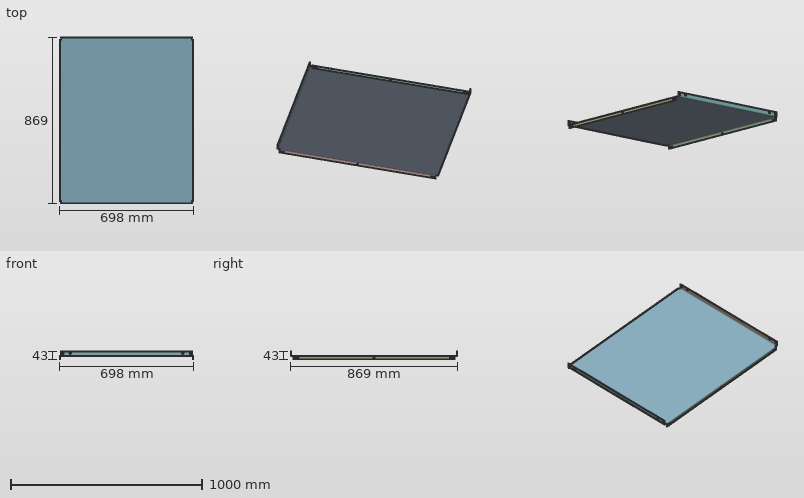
import cadquery as cq
import math

WIDTH = 698.0
LENGTH = 869.0
HEIGHT = 43.0

SHEET = 2.0
INNER_BEND = 0.5
OUTER_BEND = INNER_BEND + SHEET

END_RISE = 23.5
SIDE_DROP = HEIGHT - END_RISE
END_FLANGE_LENGTH = 686.0
SIDE_FLANGE_LENGTH = 845.0
PANEL_WIDTH = WIDTH - 2 * OUTER_BEND
PANEL_LENGTH = LENGTH - 2 * OUTER_BEND
PANEL_END_WIDTH = 684.0

END_OPENING_Z = 14.0
END_SLOT_X = 334.0
END_SLOT_WIDTH = 6.0
END_SLOT_HEIGHT = 14.0
END_HOLE_X = 294.0
END_HOLE_DIAMETER = 7.0

SIDE_HOLE_Z = -12.0
SIDE_OUTER_HOLE_Y = 413.0
SIDE_OUTER_HOLE_DIAMETER = 6.0
SIDE_INNER_HOLE_Y = 399.0
SIDE_INNER_HOLE_DIAMETER = 5.0


def bent_flange(plane, outer_face, height, length):
    """A quarter bend and its upright flange; the panel's outer skin is at height 0 of the profile."""
    bend_start = outer_face - OUTER_BEND
    diagonal = math.sqrt(0.5)
    outer_mid = (bend_start + OUTER_BEND * diagonal, OUTER_BEND * (1 - diagonal))
    inner_mid = (bend_start + INNER_BEND * diagonal, OUTER_BEND - INNER_BEND * diagonal)
    return (
        cq.Workplane(plane)
        .moveTo(bend_start, 0)
        .threePointArc(outer_mid, (outer_face, OUTER_BEND))
        .lineTo(outer_face, height)
        .lineTo(outer_face - SHEET, height)
        .lineTo(outer_face - SHEET, OUTER_BEND)
        .threePointArc(inner_mid, (bend_start, SHEET))
        .close()
        .extrude(length / 2, both=True)
    )


def panel():
    """Flat sheet, narrowed at both ends to leave relief notches at the corners."""
    middle = cq.Workplane("XY").rect(PANEL_WIDTH, SIDE_FLANGE_LENGTH).extrude(-SHEET)
    full_length = cq.Workplane("XY").rect(PANEL_END_WIDTH, PANEL_LENGTH).extrude(-SHEET)
    return middle.union(full_length)


def end_flange_pair():
    flange = bent_flange("YZ", LENGTH / 2, END_RISE + SHEET, END_FLANGE_LENGTH)
    flange = flange.translate((0, 0, -SHEET))
    return flange.union(flange.mirror("XZ"))


def side_flange_pair():
    flange = bent_flange("XZ", WIDTH / 2, SIDE_DROP, SIDE_FLANGE_LENGTH).mirror("XY")
    return flange.union(flange.mirror("YZ"))


def end_openings():
    """Upright slots near the corners and round holes beside them, through both end flanges."""
    slots = (
        cq.Workplane("XZ")
        .pushPoints([(-END_SLOT_X, END_OPENING_Z), (END_SLOT_X, END_OPENING_Z)])
        .slot2D(END_SLOT_HEIGHT, END_SLOT_WIDTH, 90)
        .extrude(LENGTH, both=True)
    )
    holes = (
        cq.Workplane("XZ")
        .pushPoints([(-END_HOLE_X, END_OPENING_Z), (END_HOLE_X, END_OPENING_Z)])
        .circle(END_HOLE_DIAMETER / 2)
        .extrude(LENGTH, both=True)
    )
    return slots.union(holes)


def side_holes(diameter, positions):
    """Round holes at the given Y positions, through both side flanges."""
    return (
        cq.Workplane("YZ")
        .pushPoints([(y, SIDE_HOLE_Z) for y in positions])
        .circle(diameter / 2)
        .extrude(WIDTH, both=True)
    )


result = (
    panel()
    .union(end_flange_pair())
    .union(side_flange_pair())
    .cut(end_openings())
    .cut(side_holes(SIDE_OUTER_HOLE_DIAMETER, (-SIDE_OUTER_HOLE_Y, SIDE_OUTER_HOLE_Y)))
    .cut(side_holes(SIDE_INNER_HOLE_DIAMETER, (-SIDE_INNER_HOLE_Y, 0, SIDE_INNER_HOLE_Y)))
)